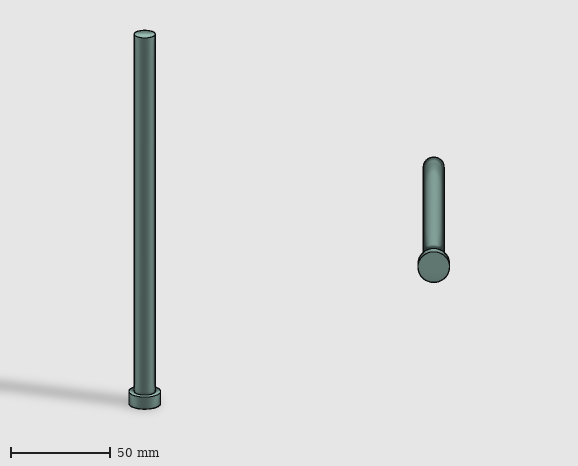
import cadquery as cq

total_length = 200.0
head_diameter = 16.0
head_height = 6.5
shank_diameter = 10.5

head = cq.Workplane("XY").circle(head_diameter / 2).extrude(head_height)
shank = cq.Workplane("XY").circle(shank_diameter / 2).extrude(total_length)

result = head.union(shank)